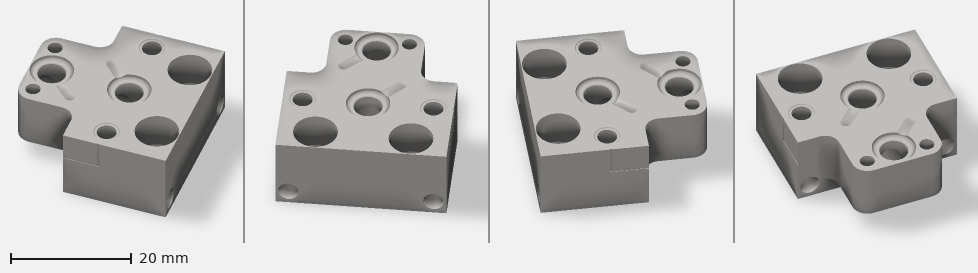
import cadquery as cq
import math

LENGTH = 29.08
WIDTH = 28.45
HEIGHT = 12.7
BODY_START_X = 11.0
TONGUE_HALF_WIDTH = 7.88
TONGUE_THICKNESS = 9.6
TONGUE_CORNER_RADIUS = 2.68
TONGUE_ROOT_RADIUS = 2.45

PORT_XS = (3.85, 17.48)
SEAL_SEAT_RADIUS = 3.65
SEAL_SEAT_DEPTH = 0.6
SEAL_SEAT_FILLET = 0.23
PORT_RADIUS = 2.35
PORT_CHAMFER = 0.12
CHANNEL_RADIUS = PORT_RADIUS
CHANNEL_Z = 7.9
PLUG_RADIUS = 2.62
PLUG_LENGTH = 1.15

GROOVE_REACH = 7.05
GROOVE_HALF_WIDTH = 0.93
GROOVE_DEPTH = 0.32
GROOVE_OVERLAP = 0.3

PIN_HOLE_X = 2.47
PIN_HOLE_Y = 5.32
PIN_HOLE_RADIUS = 1.25
SCREW_X = 25.25
SCREW_Y = 7.95
SCREW_RADIUS = 2.12
SCREW_HEAD_RADIUS = 3.7
SCREW_HEAD_DEPTH = HEIGHT / 2

CROSS_HOLE_Y = 12.07
CROSS_HOLE_Z = 2.45
CROSS_HOLE_RADIUS = 1.72
INSERT_X = PORT_XS[1]
INSERT_Y = 10.88
INSERT_RADIUS = 2.06
INSERT_BOTTOM_Z = 3.37
INSERT_MOUTH_RADIUS = 2.18
INSERT_RECESS = 0.15
INSERT_BORE_RADIUS = 1.65
INSERT_FLOOR_THICKNESS = 0.58
DRILL_POINT_ANGLE = 118

MARK_OUTER_X = 17.45
MARK_DEPTH = 0.1
MARK_UPRIGHT_WIDTH = 0.35
MARK_LEVEL_WIDTH = 0.23
MARK_BOTTOM_Z = 7.65


def box(x_range, y_range, z_range):
    """Box between the given lower and upper limits on each axis."""
    ranges = (x_range, y_range, z_range)
    sizes = [upper - lower for lower, upper in ranges]
    lows = tuple(lower for lower, upper in ranges)
    return cq.Workplane("XY").box(*sizes, centered=False).translate(lows)


def upright(x, y, radius, bottom, top):
    """Vertical cylinder between two heights."""
    return cq.Workplane("XY", origin=(x, y, bottom)).circle(radius).extrude(top - bottom)


def along_x(y, z, radius, start, end):
    """Cylinder parallel to X between two X positions."""
    return cq.Workplane("YZ", origin=(start, y, z)).circle(radius).extrude(end - start)


def block():
    """Body and tongue with rounded outer corners and blended inner corners."""
    tongue_z = (HEIGHT - TONGUE_THICKNESS, HEIGHT)
    tongue = box((0, LENGTH), (-TONGUE_HALF_WIDTH, TONGUE_HALF_WIDTH), tongue_z)
    tongue = tongue.edges("|Z and <X").fillet(TONGUE_CORNER_RADIUS)
    body = box((BODY_START_X, LENGTH), (-WIDTH / 2, WIDTH / 2), (0, HEIGHT))
    solid = body.union(tongue)
    roots = cq.selectors.BoxSelector(
        (BODY_START_X - TONGUE_ROOT_RADIUS, -TONGUE_HALF_WIDTH - TONGUE_ROOT_RADIUS, 0),
        (BODY_START_X + TONGUE_ROOT_RADIUS, TONGUE_HALF_WIDTH + TONGUE_ROOT_RADIUS, HEIGHT),
    )
    return solid.edges("|Z").edges(roots).fillet(TONGUE_ROOT_RADIUS)


def port(x):
    """Round-cornered seal seat above a chamfered bore that meets the channel."""
    seat_z = HEIGHT - SEAL_SEAT_DEPTH
    seat = upright(x, 0, SEAL_SEAT_RADIUS, seat_z, HEIGHT)
    seat = seat.faces("<Z").edges().fillet(SEAL_SEAT_FILLET)
    bore = upright(x, 0, PORT_RADIUS, CHANNEL_Z, seat_z)
    bevel = cq.Solid.makeCone(
        PORT_RADIUS,
        PORT_RADIUS + PORT_CHAMFER,
        PORT_CHAMFER,
        pnt=cq.Vector(x, 0, seat_z - PORT_CHAMFER),
    )
    return seat.union(bore).union(bevel)


def plug_body():
    """Plug closing the channel flush with the tongue's end face."""
    return along_x(0, CHANNEL_Z, PLUG_RADIUS, 0, PLUG_LENGTH)


def channel():
    """Channel from the tongue's end to a ball end below the far port."""
    end_x = PORT_XS[1]
    ball = cq.Workplane("XY").sphere(CHANNEL_RADIUS).translate((end_x, 0, CHANNEL_Z))
    return along_x(0, CHANNEL_Z, CHANNEL_RADIUS, 0, end_x).union(ball)


def groove(port_x, angle):
    """Ball-ended groove leaving a port; its centre line lies above the top face."""
    radius = (GROOVE_HALF_WIDTH ** 2 + GROOVE_DEPTH ** 2) / (2 * GROOVE_DEPTH)
    start = SEAL_SEAT_RADIUS - GROOVE_OVERLAP
    run = along_x(0, 0, radius, start, GROOVE_REACH)
    ball = cq.Workplane("XY").sphere(radius).translate((GROOVE_REACH, 0, 0))
    cutter = run.union(ball).rotate((0, 0, 0), (0, 0, 1), angle)
    return cutter.translate((port_x, 0, HEIGHT - GROOVE_DEPTH + radius))


def screw_hole(y):
    """Through hole with a deep counterbore from the top."""
    head = upright(SCREW_X, y, SCREW_HEAD_RADIUS, HEIGHT - SCREW_HEAD_DEPTH, HEIGHT)
    return upright(SCREW_X, y, SCREW_RADIUS, 0, HEIGHT).union(head)


def insert_cavity(y):
    """Bevelled mouth and blind, cone-bottomed bore, as one revolved outline."""
    recess_z = HEIGHT - INSERT_RECESS
    cone_tip_z = INSERT_BOTTOM_Z + INSERT_FLOOR_THICKNESS
    cone_height = INSERT_BORE_RADIUS / math.tan(math.radians(DRILL_POINT_ANGLE / 2))
    profile = [
        (0, HEIGHT),
        (INSERT_MOUTH_RADIUS, HEIGHT),
        (INSERT_RADIUS, recess_z),
        (INSERT_BORE_RADIUS, recess_z),
        (INSERT_BORE_RADIUS, cone_tip_z + cone_height),
        (0, cone_tip_z),
    ]
    turned = cq.Workplane("XZ").polyline(profile).close().revolve(360, (0, 0), (0, 1))
    return turned.translate((INSERT_X, y, 0))


def marking_groove(side):
    """L-shaped groove from the body's -X face up to the top face."""
    face_y = side * WIDTH / 2
    y_range = sorted((face_y, face_y - side * MARK_DEPTH))
    level_top = MARK_BOTTOM_Z + MARK_LEVEL_WIDTH
    level = box((BODY_START_X, MARK_OUTER_X), y_range, (MARK_BOTTOM_Z, level_top))
    leg_start_x = MARK_OUTER_X - MARK_UPRIGHT_WIDTH
    upright_leg = box((leg_start_x, MARK_OUTER_X), y_range, (MARK_BOTTOM_Z, HEIGHT))
    return level.union(upright_leg)


def cross_hole(y):
    """Hole along X through the whole body, near its underside."""
    return along_x(y, CROSS_HOLE_Z, CROSS_HOLE_RADIUS, BODY_START_X, LENGTH)


result = block()

result = result.cut(plug_body()).cut(channel())
for port_x, groove_angle in zip(PORT_XS, (-45, 135)):
    result = result.cut(port(port_x)).cut(groove(port_x, groove_angle))

for side in (-1, 1):
    insert_y = side * INSERT_Y
    result = result.cut(upright(PIN_HOLE_X, side * PIN_HOLE_Y, PIN_HOLE_RADIUS, 0, HEIGHT))
    result = result.cut(screw_hole(side * SCREW_Y))
    result = result.cut(cross_hole(side * CROSS_HOLE_Y))
    result = result.union(upright(INSERT_X, insert_y, INSERT_RADIUS, INSERT_BOTTOM_Z, HEIGHT))
    result = result.cut(insert_cavity(insert_y))
    result = result.cut(marking_groove(side))

result = result.union(plug_body(), clean=False)